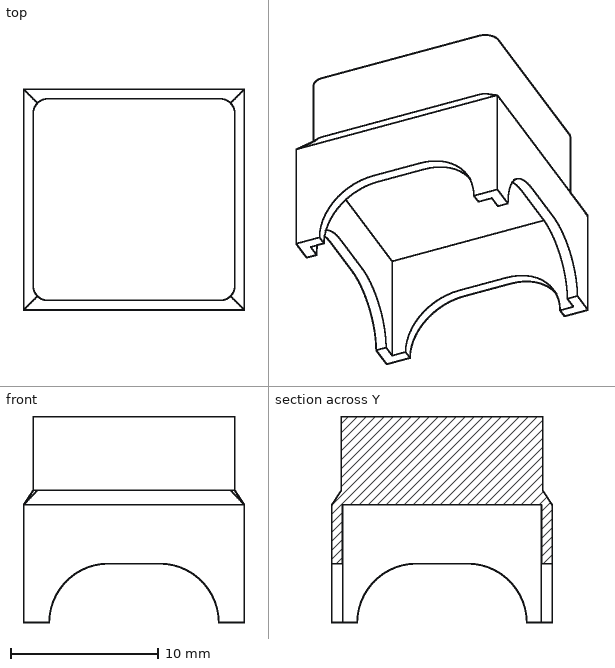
import cadquery as cq
import math

skirt_side = 15.0
total_height = 14.0

cap_side = 13.7
cap_height = 5.0
cap_corner_radius = 1.0

shoulder_height = 1.0

shoulder_top = total_height - cap_height
skirt_height = shoulder_top - shoulder_height
wall_thickness = 0.75

arch_width = 11.5
arch_radius = 4.0


def make_skirt():
    """Square tube, open at the bottom and closed above by the shoulder."""
    cavity_side = skirt_side - 2 * wall_thickness
    return (
        cq.Workplane("XY")
        .rect(skirt_side, skirt_side)
        .rect(cavity_side, cavity_side)
        .extrude(skirt_height)
    )


def quarter_turns(edges):
    """Closed wire from one corner's edges repeated around the Z axis."""
    origin = cq.Vector(0, 0, 0)
    z_axis = cq.Vector(0, 0, 1)
    turned = [edge.rotate(origin, z_axis, angle) for angle in (0, 90, 180, 270) for edge in edges]
    return cq.Wire.assembleEdges(turned)


def make_shoulder():
    """Ruled transition from the sharp skirt square to the rounded cap square.

    Both outlines have three edges per quarter, so each flat side meets a flat
    side and each half of a rounded corner meets one leg of a sharp corner.
    """
    half_skirt = skirt_side / 2
    half_cap = cap_side / 2
    half_cap_flat = half_cap - cap_corner_radius
    half_skirt_flat = half_skirt * half_cap_flat / half_cap
    arc_middle = half_cap_flat + cap_corner_radius * math.sqrt(0.5)

    square_points = [
        cq.Vector(half_skirt, -half_skirt_flat, skirt_height),
        cq.Vector(half_skirt, half_skirt_flat, skirt_height),
        cq.Vector(half_skirt, half_skirt, skirt_height),
        cq.Vector(half_skirt_flat, half_skirt, skirt_height),
    ]
    square_edges = [
        cq.Edge.makeLine(start, end) for start, end in zip(square_points, square_points[1:])
    ]

    flat_start = cq.Vector(half_cap, -half_cap_flat, shoulder_top)
    arc_start = cq.Vector(half_cap, half_cap_flat, shoulder_top)
    arc_mid = cq.Vector(arc_middle, arc_middle, shoulder_top)
    arc_end = cq.Vector(half_cap_flat, half_cap, shoulder_top)
    along_y = cq.Vector(0, 1, 0)
    diagonal = cq.Vector(-1, 1, 0)
    rounded_edges = [
        cq.Edge.makeLine(flat_start, arc_start),
        cq.Edge.makeTangentArc(arc_start, along_y, arc_mid),
        cq.Edge.makeTangentArc(arc_mid, diagonal, arc_end),
    ]

    outlines = [quarter_turns(square_edges), quarter_turns(rounded_edges)]
    return cq.Workplane(cq.Solid.makeLoft(outlines, ruled=True))


def make_cap():
    """Solid block with rounded vertical edges and a flat top."""
    return (
        cq.Workplane("XY", origin=(0, 0, shoulder_top))
        .rect(cap_side, cap_side)
        .extrude(cap_height)
        .edges("|Z")
        .fillet(cap_corner_radius)
    )


def arch_cutter(plane):
    """Flat-topped arch with quarter-round sides, running right through the skirt."""
    half_width = arch_width / 2
    half_flat = half_width - arch_radius
    return (
        cq.Workplane(plane)
        .moveTo(-half_width, 0)
        .radiusArc((-half_flat, arch_radius), arch_radius)
        .lineTo(half_flat, arch_radius)
        .radiusArc((half_width, 0), arch_radius)
        .close()
        .extrude(skirt_side, both=True)
    )


result = make_skirt().union(make_shoulder()).union(make_cap())
for arch_plane in ("XZ", "YZ"):
    result = result.cut(arch_cutter(arch_plane))